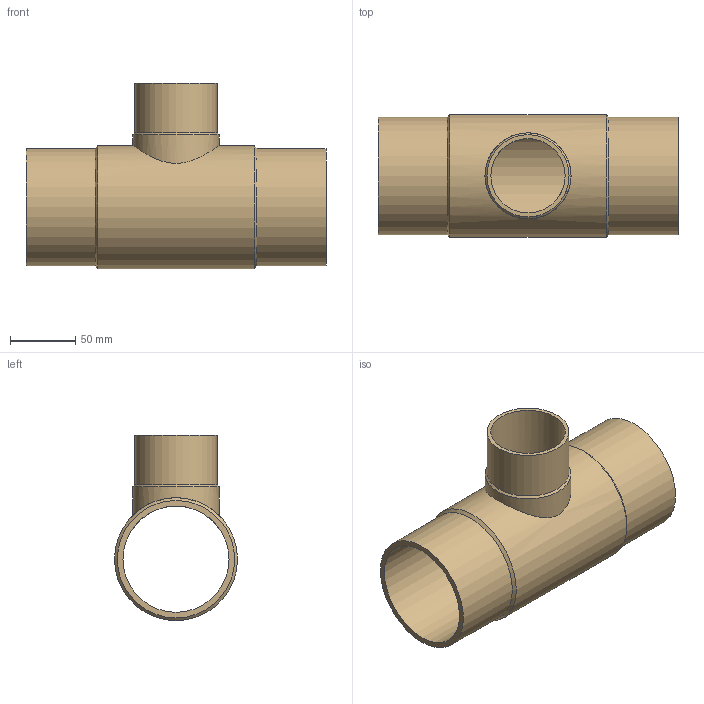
import cadquery as cq

run_length = 230.0
run_outer_diameter = 90.0
run_bore_diameter = 81.4

body_diameter = 94.3
body_length = 124.0
body_chamfer = (body_diameter - run_outer_diameter) / 2

branch_height = 95.0
branch_outer_diameter = 63.0
branch_bore_diameter = 57.0

collar_diameter = 66.0
collar_height = 57.0
collar_chamfer = (collar_diameter - branch_outer_diameter) / 2


def run_cylinder(diameter, length):
    """Cylinder along X, centred on the origin."""
    start = cq.Workplane("YZ", origin=(-length / 2, 0, 0))
    return start.circle(diameter / 2).extrude(length)


def branch_cylinder(diameter, height):
    """Cylinder along +Z, starting at the run axis."""
    return cq.Workplane("XY").circle(diameter / 2).extrude(height)


body = run_cylinder(body_diameter, body_length).edges().chamfer(body_chamfer)
collar = branch_cylinder(collar_diameter, collar_height).edges(">Z").chamfer(collar_chamfer)
outside = (
    body.union(run_cylinder(run_outer_diameter, run_length))
    .union(collar)
    .union(branch_cylinder(branch_outer_diameter, branch_height))
)

result = outside.cut(run_cylinder(run_bore_diameter, run_length)).cut(
    branch_cylinder(branch_bore_diameter, branch_height)
)